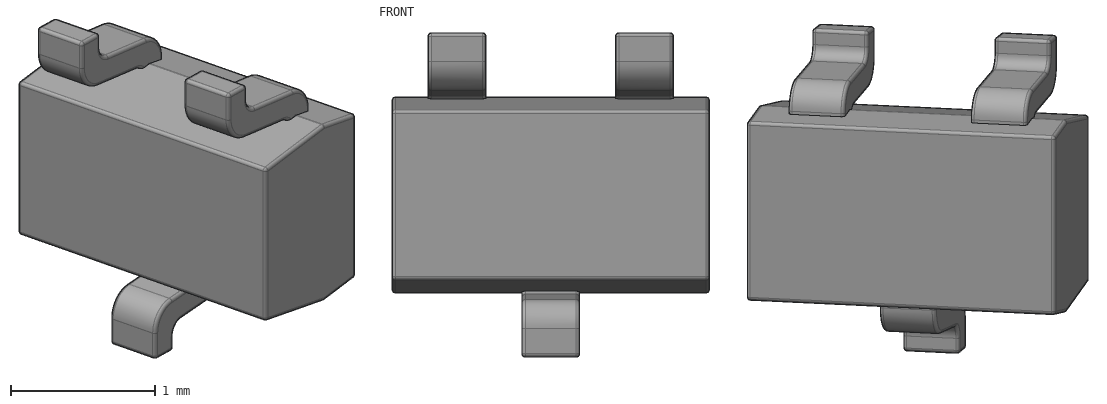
import cadquery as cq
import math


overall_height = 2.25
edge_round = 0.025

housing_length = 2.2
housing_back = 1.1
housing_front = 0.1
ridge_y = 0.75
ridge_height = 1.36
draft_angle = math.radians(8)

lead_width = 0.4
lead_thickness = 0.2
lead_pitch = 1.3
lead_back = 0.9
arm_angle = math.radians(5)
arm_outer_z = 0.925
bend_inner_radius = 0.1
bend_outer_radius = 0.2
root_z = 0.45


def make_housing():
    """Block with drafted +Z and -Z sides that meet along a ridge, rounded on every edge."""
    ridge_z = ridge_height / 2
    back_z = ridge_z - (housing_back - ridge_y) * math.tan(draft_angle)
    front_z = ridge_z - (ridge_y - housing_front) * math.tan(draft_angle)
    outline = [
        (housing_front, -front_z),
        (ridge_y, -ridge_z),
        (housing_back, -back_z),
        (housing_back, back_z),
        (ridge_y, ridge_z),
        (housing_front, front_z),
    ]
    block = cq.Workplane("YZ").polyline(outline).close().extrude(housing_length / 2, both=True)
    return block.edges().fillet(edge_round)


def make_lead(center_x, housing):
    """Gull-wing lead on the +Z side, ending where it meets the housing."""
    tip_z = overall_height / 2
    root_front = lead_back - lead_thickness
    arm_rise = math.tan(arm_angle)
    arm_inner_z = arm_outer_z - lead_thickness / math.cos(arm_angle)

    def arm_point(y, z_at_foot):
        return (y, z_at_foot - (y - lead_thickness) * arm_rise)

    foot_outer_bend = arm_point(0, arm_inner_z)
    root_inner_bend = arm_point(root_front, arm_inner_z)
    root_outer_bend = arm_point(lead_back, arm_outer_z)
    foot_inner_bend = arm_point(lead_thickness, arm_outer_z)
    outline = [
        (0, tip_z),
        foot_outer_bend,
        root_inner_bend,
        (root_front, root_z),
        (lead_back, root_z),
        root_outer_bend,
        foot_inner_bend,
        (lead_thickness, tip_z),
    ]
    lead = cq.Workplane("YZ").polyline(outline).close().extrude(lead_width / 2, both=True)

    def edge_at(point):
        return cq.selectors.NearestToPointSelector((0, *point))

    for bend in (foot_inner_bend, root_inner_bend):
        lead = lead.edges("|X").edges(edge_at(bend)).fillet(bend_inner_radius)
    for bend in (foot_outer_bend, root_outer_bend):
        lead = lead.edges("|X").edges(edge_at(bend)).fillet(bend_outer_radius)
    lead = lead.edges().fillet(edge_round)
    return lead.translate((center_x, 0, 0)).cut(housing)


housing = make_housing()

upper_leads = [make_lead(side * lead_pitch / 2, housing) for side in (-1, 1)]
lower_lead = make_lead(0, housing).mirror("XY")

leads = [*upper_leads, lower_lead]
result = cq.Compound.makeCompound([housing.val(), *[lead.val() for lead in leads]])